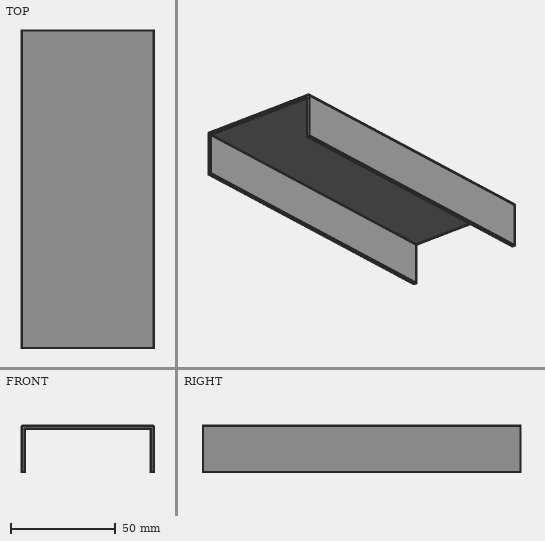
import cadquery as cq

length = 152.4
width = 63.4
height = 22.3
wall = 1.5
edge_radius = 0.8

outer_block = cq.Workplane("XY").box(width, length, height)
rounded_block = outer_block.edges("|Y and >Z").fillet(edge_radius)

inner_width = width - 2 * wall
cavity = cq.Workplane("XY").box(inner_width, length, height).translate((0, 0, -wall))

result = rounded_block.cut(cavity)